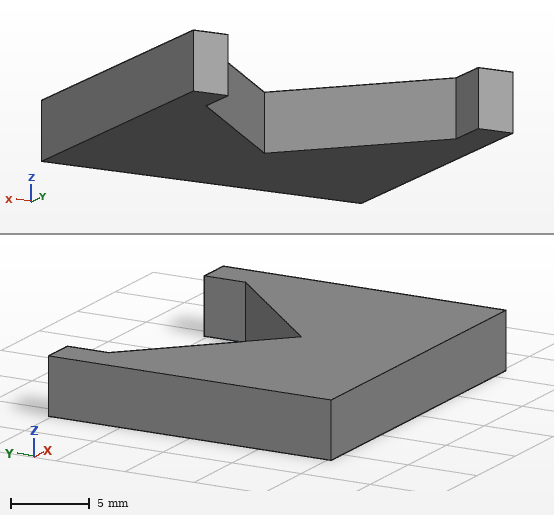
import cadquery as cq

width = 23.0
depth = 20.5
thickness = 4.0

prong_width = 2.5
prong_length = 3.0

half_width = width / 2
notch_half_width = half_width - prong_width
shoulder_y = depth - prong_length
vertex_y = shoulder_y - notch_half_width

outline = [
    (-half_width, 0),
    (half_width, 0),
    (half_width, depth),
    (notch_half_width, depth),
    (notch_half_width, shoulder_y),
    (0, vertex_y),
    (-notch_half_width, shoulder_y),
    (-notch_half_width, depth),
    (-half_width, depth),
]

result = cq.Workplane("XY").polyline(outline).close().extrude(thickness)